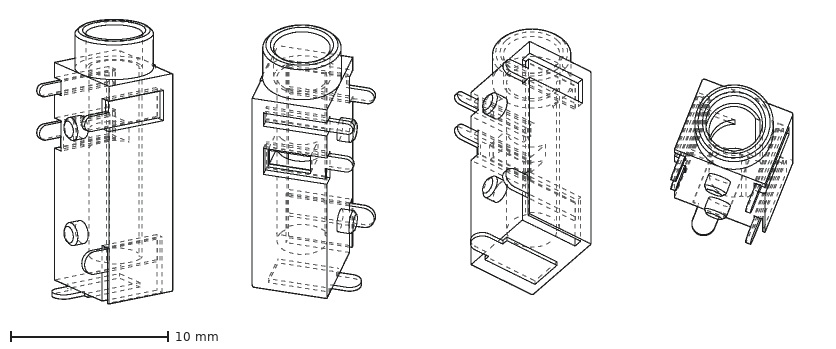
import cadquery as cq


LEFT = -1
RIGHT = 1

HOUSING_WIDTH = 6.2
HOUSING_DEPTH = 5.0
HOUSING_HEIGHT = 14.5
BACK_ROUND = 0.2
SIDE_X = HOUSING_WIDTH / 2
BACK_Y = HOUSING_DEPTH / 2
FRONT_Y = -BACK_Y

BARREL_RADIUS = HOUSING_DEPTH / 2
BARREL_HEIGHT = 2.5
RIM_CHAMFER = 0.2
TOP_Z = HOUSING_HEIGHT + BARREL_HEIGHT

MOUTH_RADIUS = 1.8
BORE_RADIUS = 1.6
BORE_FLOOR_Z = 2.0
KEYWAY_WIDTH = 2.49

PEG_RADIUS = 0.75
PEG_LENGTH = 1.0
PEG_CHAMFER = 0.2
PEG_HEIGHTS = (11.0, 4.0)

SLOT_DEPTH = 0.76
SLOT_BACK_Y = 1.7
SHEET_INSET = 0.38
SHEET_THICKNESS = 0.33
SHEET_CLEARANCE = 0.1
SHEET_FRONT_Y = FRONT_Y + 0.2
TAIL_LENGTH = 1.61
TAIL_TIP_Y = FRONT_Y - TAIL_LENGTH
UPPER_SLOT_TOP = HOUSING_HEIGHT - 1.0
LEFT_WIDE_SLOT_TOP = HOUSING_HEIGHT - 3.7
NARROW_SLOT_HEIGHT = 1.0
WIDE_SLOT_HEIGHT = 2.0
NARROW_TAIL_WIDTH = NARROW_SLOT_HEIGHT - 2 * SHEET_CLEARANCE
WIDE_TAIL_WIDTH = 1.0

WINDOW_Y = (-1.3, 1.5)
WINDOW_Z = (HOUSING_HEIGHT - 5.35, HOUSING_HEIGHT - 4.07)

LOWER_SLOT_HEIGHT = 3.7
LOWER_SLOT_WALL = 0.17
LOWER_TAIL_WIDTH = 1.5
LOWER_TAIL_CLEARANCE = 0.15

PLATE_THICKNESS = 0.3
PLATE_X = (-1.9, 0.42)
PLATE_TAIL_CENTER_X = -0.76


def box(x_range, y_range, z_range):
    """Box spanning three (low, high) ranges."""
    lows, highs = zip(x_range, y_range, z_range)
    sizes = [high - low for low, high in zip(lows, highs)]
    return cq.Workplane("XY").box(*sizes, centered=False).translate(lows)


def cylinder(radius, bottom, top):
    """Cylinder on the socket axis."""
    return cq.Workplane("XY", origin=(0, 0, bottom)).circle(radius).extrude(top - bottom)


def side_range(side, near, far):
    """X range between two depths below the LEFT or RIGHT side face."""
    return sorted((side * (SIDE_X - near), side * (SIDE_X - far)))


def sheet_range(side):
    """X range occupied by the contact sheets of one side."""
    return side_range(side, SHEET_INSET, SHEET_INSET + SHEET_THICKNESS)


def make_housing():
    body = box((-SIDE_X, SIDE_X), (FRONT_Y, BACK_Y), (0, HOUSING_HEIGHT))
    body = body.faces(">Y").edges().fillet(BACK_ROUND)
    barrel = cylinder(BARREL_RADIUS, HOUSING_HEIGHT, TOP_Z).faces(">Z").chamfer(RIM_CHAMFER)
    round_start_y = BACK_Y - BACK_ROUND
    bridge_half = (BARREL_RADIUS**2 - round_start_y**2) ** 0.5
    bridge = box(
        (-bridge_half, bridge_half),
        (round_start_y, BACK_Y),
        (HOUSING_HEIGHT - BACK_ROUND, HOUSING_HEIGHT),
    )
    return body.union(bridge).union(barrel)


def make_bore():
    """Stepped bore with a conical lead-in, plus the keyway beside its narrow part."""
    profile = [
        (0, BORE_FLOOR_Z),
        (BORE_RADIUS, BORE_FLOOR_Z),
        (BORE_RADIUS, HOUSING_HEIGHT),
        (MOUTH_RADIUS, HOUSING_HEIGHT),
        (MOUTH_RADIUS, TOP_Z - RIM_CHAMFER),
        (MOUTH_RADIUS + RIM_CHAMFER, TOP_Z),
        (0, TOP_Z),
    ]
    bore = cq.Workplane("XZ").polyline(profile).close().revolve(360, (0, 0), (0, 1))
    keyway_half = KEYWAY_WIDTH / 2
    keyway = cylinder(MOUTH_RADIUS, BORE_FLOOR_Z, HOUSING_HEIGHT).intersect(
        box((0, MOUTH_RADIUS), (-keyway_half, keyway_half), (BORE_FLOOR_Z, HOUSING_HEIGHT))
    )
    return bore.union(keyway)


def make_peg(height):
    peg = cq.Workplane("XZ", origin=(0, FRONT_Y, height)).circle(PEG_RADIUS).extrude(PEG_LENGTH)
    return peg.faces("<Y").chamfer(PEG_CHAMFER)


def make_slot(side, top, height):
    return box(side_range(side, 0, SLOT_DEPTH), (FRONT_Y, SLOT_BACK_Y), (top - height, top))


def make_sheet(side, slot_top, slot_height):
    z_range = (slot_top - slot_height + SHEET_CLEARANCE, slot_top - SHEET_CLEARANCE)
    return box(sheet_range(side), (SHEET_FRONT_Y, SLOT_BACK_Y), z_range)


def tail_outline(plane, origin, width):
    """Closed strip outline from the slot back to a fully rounded tip; local Y runs along part Y."""
    half = width / 2
    return (
        cq.Workplane(cq.Plane(origin, *plane))
        .moveTo(-half, SLOT_BACK_Y)
        .lineTo(-half, TAIL_TIP_Y + half)
        .threePointArc((0, TAIL_TIP_Y), (half, TAIL_TIP_Y + half))
        .lineTo(half, SLOT_BACK_Y)
        .close()
    )


def make_side_tail(side, center_z, width):
    """Upright tail in the sheet plane of one side; its outline plane faces -X."""
    right_x = sheet_range(side)[1]
    plane = ((0, 0, 1), (-1, 0, 0))
    return tail_outline(plane, (right_x, 0, center_z), width).extrude(SHEET_THICKNESS)


def make_plate():
    plate = box(PLATE_X, (SHEET_FRONT_Y, SLOT_BACK_Y), (-PLATE_THICKNESS, 0))
    plane = ((1, 0, 0), (0, 0, 1))
    origin = (PLATE_TAIL_CENTER_X, 0, -PLATE_THICKNESS)
    return plate.union(tail_outline(plane, origin, LOWER_TAIL_WIDTH).extrude(PLATE_THICKNESS))


result = make_housing().cut(make_bore())
for peg_height in PEG_HEIGHTS:
    result = result.union(make_peg(peg_height))

narrow_center = UPPER_SLOT_TOP - NARROW_SLOT_HEIGHT / 2
result = result.cut(make_slot(LEFT, UPPER_SLOT_TOP, NARROW_SLOT_HEIGHT))
result = result.union(make_side_tail(LEFT, narrow_center, NARROW_TAIL_WIDTH))

tail_offset = SHEET_CLEARANCE + WIDE_TAIL_WIDTH / 2
wide_contacts = (
    (LEFT, LEFT_WIDE_SLOT_TOP, LEFT_WIDE_SLOT_TOP - tail_offset),
    (RIGHT, UPPER_SLOT_TOP, UPPER_SLOT_TOP - WIDE_SLOT_HEIGHT + tail_offset),
)
for side, slot_top, tail_center in wide_contacts:
    result = result.cut(make_slot(side, slot_top, WIDE_SLOT_HEIGHT))
    result = result.union(make_sheet(side, slot_top, WIDE_SLOT_HEIGHT))
    result = result.union(make_side_tail(side, tail_center, WIDE_TAIL_WIDTH))

result = result.cut(box((-SIDE_X, 0), WINDOW_Y, WINDOW_Z))

lower_slot_x = side_range(RIGHT, LOWER_SLOT_WALL, SLOT_DEPTH)
lower_center = LOWER_SLOT_HEIGHT - LOWER_TAIL_CLEARANCE - LOWER_TAIL_WIDTH / 2
result = result.cut(box(lower_slot_x, (FRONT_Y, SLOT_BACK_Y), (0, LOWER_SLOT_HEIGHT)))
result = result.union(make_side_tail(RIGHT, lower_center, LOWER_TAIL_WIDTH))

result = result.union(make_plate()).solids()